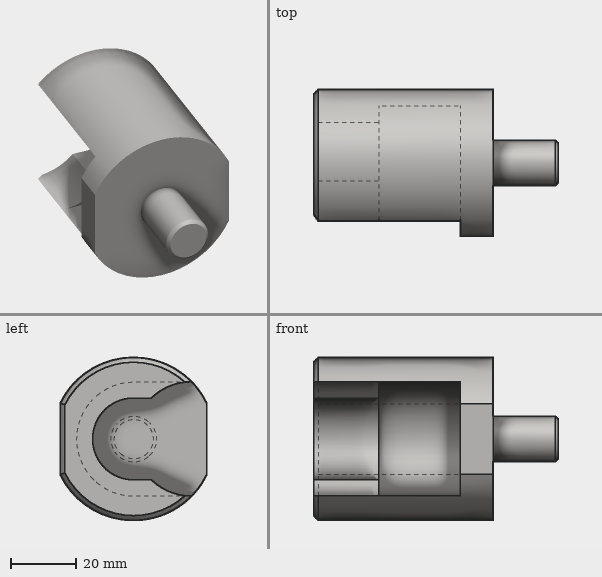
import cadquery as cq
import math

total_length = 75.0
pin_length = 20.0
body_length = total_length - pin_length
body_radius = 25.0
flat_distance = 22.5
body_chamfer = 1.5
pin_radius = 7.0
pin_chamfer = 1.0

pocket_depth = 45.0
pocket_radius = 17.5
lip_length = 20.0
throat_radius = 12.5
throat_straight = 5.5
cut_reach = 2 * body_radius


def make_body():
    """Cylinder with two parallel flats and a chamfered open end."""
    cylinder = cq.Workplane("YZ").circle(body_radius).extrude(body_length)
    slab = cq.Workplane("YZ").rect(2 * flat_distance, 2 * cut_reach).extrude(body_length)
    return cylinder.intersect(slab).faces("<X").chamfer(body_chamfer)


def make_pin():
    """Chamfered pin on the closed end."""
    pin = cq.Workplane("YZ").workplane(offset=body_length).circle(pin_radius).extrude(pin_length)
    return pin.faces(">X").chamfer(pin_chamfer)


def make_wide_pocket():
    """U-shaped recess behind the lip."""
    return (
        cq.Workplane("YZ").workplane(offset=lip_length)
        .moveTo(-cut_reach, pocket_radius)
        .lineTo(0, pocket_radius)
        .threePointArc((pocket_radius, 0), (0, -pocket_radius))
        .lineTo(-cut_reach, -pocket_radius)
        .close()
        .extrude(pocket_depth - lip_length)
    )


def make_throat():
    """Narrow U-shaped opening through the lip, flaring in arcs to the pocket width."""
    flare_run = math.sqrt(pocket_radius**2 - throat_radius**2)
    flare_centre = -throat_straight - flare_run
    middle_angle = (math.asin(throat_radius / pocket_radius) + math.pi / 2) / 2
    middle_y = flare_centre + pocket_radius * math.cos(middle_angle)
    middle_z = pocket_radius * math.sin(middle_angle)
    return (
        cq.Workplane("YZ")
        .moveTo(-cut_reach, pocket_radius)
        .lineTo(flare_centre, pocket_radius)
        .threePointArc((middle_y, middle_z), (-throat_straight, throat_radius))
        .lineTo(0, throat_radius)
        .threePointArc((throat_radius, 0), (0, -throat_radius))
        .lineTo(-throat_straight, -throat_radius)
        .threePointArc((middle_y, -middle_z), (flare_centre, -pocket_radius))
        .lineTo(-cut_reach, -pocket_radius)
        .close()
        .extrude(lip_length)
    )


result = make_body().union(make_pin()).cut(make_wide_pocket()).cut(make_throat())